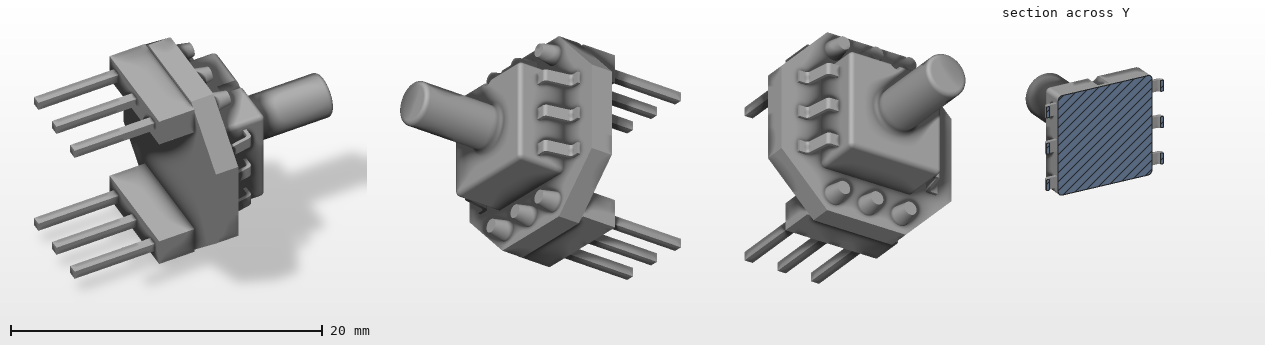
import cadquery as cq
import math


board_width = 13.0
board_thickness = 1.61
board_corner_cut = 3.5

pin_pitch = 2.55
header_length = 6.96
header_width = 1.98
header_depth = 2.55
header_offset = 5.22
pin_row_offset = 5.28
pin_width = 0.62
pin_length = 5.76
joint_height = 1.26
joint_base_radius = 0.7
joint_tip_radius = 0.47

body_width = 6.98
body_height = 3.5
body_fillet = 0.31
notch_width = 0.8
notch_depth = 1.5

port_diameter = 3.0
port_height = 6.0
port_fillet = 0.3

lead_width = 0.8
lead_thickness = 0.23
lead_height = 2.11
lead_reach = 5.3
lead_shoulder = 4.3
lead_lean = math.radians(10.7)
lead_convex_radius = 0.3
lead_concave_radius = 0.23

row_positions = (-pin_pitch, 0, pin_pitch)


def block(size_x, size_z, y_start, y_end, x=0, z=0):
    """Rectangular block centred on (x, z) and spanning y_start to y_end."""
    depth = y_end - y_start
    return cq.Workplane("XY").box(size_x, depth, size_z).translate((x, (y_start + y_end) / 2, z))


def make_board():
    board = block(board_width, board_width, -board_thickness, 0)
    return board.edges("|Y").chamfer(board_corner_cut)


def make_header(side):
    """Pin header on the +Z (side = 1) or -Z (side = -1) edge of the board."""
    header_face = -board_thickness - header_depth
    pin_z = side * pin_row_offset
    header = block(header_length, header_width, header_face, -board_thickness, z=side * header_offset)
    for x in row_positions:
        pin = block(pin_width, pin_width, header_face - pin_length, header_face, x, pin_z)
        joint = cq.Solid.makeCone(
            joint_base_radius,
            joint_tip_radius,
            joint_height,
            pnt=cq.Vector(x, 0, pin_z),
            dir=cq.Vector(0, 1, 0),
        )
        header = header.union(pin).union(cq.Workplane(joint))
    return header


def make_port():
    """Round pressure port: rounded tip, straight wall and a flared root on the body."""
    radius = port_diameter / 2
    tip = body_height + port_height
    return (
        cq.Workplane("XY")
        .moveTo(0, body_height)
        .lineTo(radius + port_fillet, body_height)
        .radiusArc((radius, body_height + port_fillet), port_fillet)
        .lineTo(radius, tip - port_fillet)
        .radiusArc((radius - port_fillet, tip), -port_fillet)
        .lineTo(0, tip)
        .close()
        .revolve(360, (0, 0), (0, 1))
    )


def make_sensor():
    """Rounded body with the pressure port and an orientation notch in its +Z side."""
    body = block(body_width, body_width, 0, body_height)
    body = body.edges("|Y").fillet(body_fillet).faces(">Y").edges().fillet(body_fillet)
    notch = cq.Solid.makeCylinder(
        notch_width / 2,
        notch_depth,
        pnt=cq.Vector(0, body_height - notch_depth, body_width / 2),
        dir=cq.Vector(0, 1, 0),
    )
    return body.cut(cq.Workplane(notch)).union(make_port())


def make_lead():
    """Gull-wing lead on the +X side, centred on Z = 0."""
    lean = math.tan(lead_lean)
    wall = lead_thickness / math.cos(lead_lean)

    def outer_x(y):
        return lead_shoulder + (lead_height - y) * lean

    def inner_x(y):
        return outer_x(y) - wall

    under_shoulder = lead_height - lead_thickness
    knee_out = (outer_x(lead_height), lead_height)
    ankle_out = (outer_x(lead_thickness), lead_thickness)
    ankle_in = (inner_x(0), 0)
    knee_in = (inner_x(under_shoulder), under_shoulder)
    root_x = body_width / 2 - body_fillet
    outline = [
        (root_x, lead_height),
        knee_out,
        ankle_out,
        (lead_reach, lead_thickness),
        (lead_reach, 0),
        ankle_in,
        knee_in,
        (root_x, under_shoulder),
    ]
    lead = cq.Workplane("XY").polyline(outline).close().extrude(lead_width / 2, both=True)
    bends = (
        (knee_out, lead_convex_radius),
        (ankle_in, lead_convex_radius),
        (ankle_out, lead_concave_radius),
        (knee_in, lead_concave_radius),
    )
    for (x, y), radius in bends:
        lead = lead.edges(cq.selectors.NearestToPointSelector((x, y, 0))).fillet(radius)
    return lead


result = make_board().union(make_sensor())
for side in (1, -1):
    result = result.union(make_header(side))

right_lead = make_lead()
left_lead = right_lead.mirror("YZ")
for z in row_positions:
    for lead in (right_lead, left_lead):
        result = result.union(lead.translate((0, 0, z)))